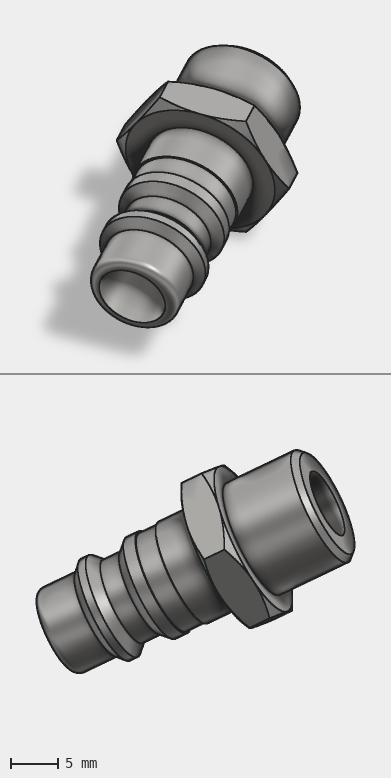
import cadquery as cq
import math

total_length = 33.0
across_flats = 17.0
hex_start = 20.0
hex_end = 24.0
hex_chamfer_angle = 30.0

tip_radius = 5.0
tip_rounding = 1.0
collar_radius = 6.0
groove_radius = 4.92
relief_radius = 5.8
tail_radius = 6.6
tail_chamfer_length = 0.73
tail_chamfer_depth = 0.65
bore_radius = 3.75

tip_end = 5.0
front_collar_start = 6.0
front_collar_end = 6.95
groove_start = 8.12
groove_end = 10.4
rear_collar_start = 11.55
rear_collar_end = 13.0
relief_end = 15.48

tip_y = -total_length / 2


def revolve_about_y(profile):
    return profile.close().revolve(360, (0, 0, 0), (0, 1, 0))


def stepped_body():
    """Revolve the outer profile, measured as radius and distance from the tip."""
    rounding_offset = tip_rounding * math.sqrt(0.5)
    profile = (
        cq.Workplane("XY", origin=(0, tip_y, 0))
        .moveTo(0, 0)
        .lineTo(tip_radius - tip_rounding, 0)
        .threePointArc(
            (tip_radius - tip_rounding + rounding_offset, tip_rounding - rounding_offset),
            (tip_radius, tip_rounding),
        )
        .lineTo(tip_radius, tip_end)
        .lineTo(collar_radius, front_collar_start)
        .lineTo(collar_radius, front_collar_end)
        .lineTo(groove_radius, groove_start)
        .lineTo(groove_radius, groove_end)
        .lineTo(collar_radius, rear_collar_start)
        .lineTo(collar_radius, rear_collar_end)
        .lineTo(relief_radius, rear_collar_end)
        .lineTo(relief_radius, relief_end)
        .lineTo(collar_radius, relief_end)
        .lineTo(collar_radius, hex_start)
        .lineTo(tail_radius, hex_start)
        .lineTo(tail_radius, total_length - tail_chamfer_length)
        .lineTo(tail_radius - tail_chamfer_depth, total_length)
        .lineTo(0, total_length)
    )
    return revolve_about_y(profile)


def chamfered_hex():
    """Hexagon with corners on X, its corners turned down to cones at both faces."""
    corner_radius = across_flats / math.sqrt(3)
    flat_radius = across_flats / 2
    chamfer_length = (corner_radius - flat_radius) * math.tan(math.radians(hex_chamfer_angle))
    prism = (
        cq.Workplane("XZ", origin=(0, tip_y + hex_start, 0))
        .polygon(6, 2 * corner_radius)
        .extrude(hex_start - hex_end)
    )
    envelope = revolve_about_y(
        cq.Workplane("XY", origin=(0, tip_y, 0))
        .moveTo(0, hex_start)
        .lineTo(flat_radius, hex_start)
        .lineTo(corner_radius, hex_start + chamfer_length)
        .lineTo(corner_radius, hex_end - chamfer_length)
        .lineTo(flat_radius, hex_end)
        .lineTo(0, hex_end)
    )
    return prism.intersect(envelope)


def through_bore():
    return (
        cq.Workplane("XZ", origin=(0, tip_y, 0))
        .circle(bore_radius)
        .extrude(-total_length)
    )


result = stepped_body().union(chamfered_hex()).cut(through_bore())